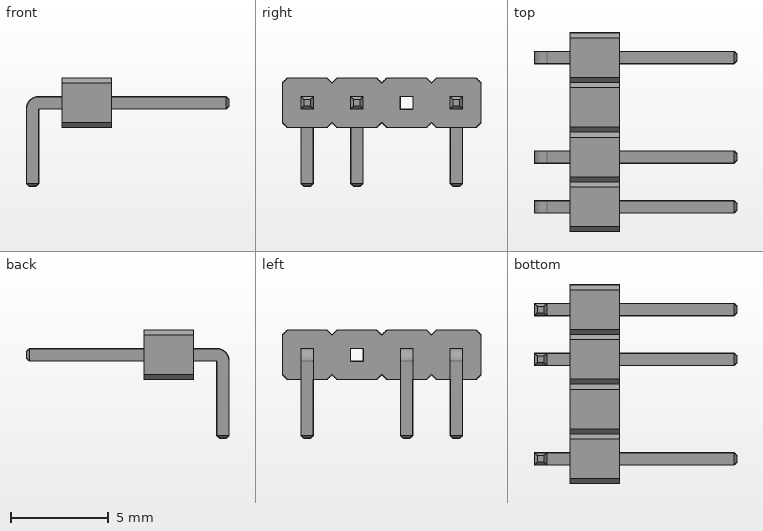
import cadquery as cq

cell_count = 4
empty_cell = 2
overall_length = 10.36
overall_height = 5.54
row_length = 10.16
pitch = row_length / cell_count
housing_depth = pitch
housing_height = pitch
housing_start = 1.81
corner_chamfer = 0.26

pin_width = 0.64
bend_radius = pin_width
tip_length = 0.16
tip_inset = 0.16

housing_centre = housing_start + housing_depth / 2
pin_top = pin_width / 2
pin_bottom = housing_height / 2 - overall_height


def cell_y(index):
    """Y of a cell centre, with the row centred on the origin."""
    return (index + 0.5) * pitch - row_length / 2


def make_housing():
    """Chamfered cells joined in a row, with a square hole in the empty one."""
    housing = cq.Workplane("XY")
    for index in range(cell_count):
        cell = (
            cq.Workplane("XY")
            .box(housing_depth, pitch, housing_height)
            .edges("|X")
            .chamfer(corner_chamfer)
            .translate((housing_centre, cell_y(index), 0))
        )
        housing = housing.union(cell)
    hole = cq.Workplane("XY").box(housing_depth, pin_width, pin_width)
    return housing.cut(hole.translate((housing_centre, cell_y(empty_cell), 0)))


def make_tip(plane, origin):
    """Tapered pin end, narrowing along the plane normal."""
    end_width = pin_width - 2 * tip_inset
    return (
        cq.Workplane(plane, origin=origin)
        .rect(pin_width, pin_width)
        .workplane(offset=tip_length)
        .rect(end_width, end_width)
        .loft(ruled=True)
    )


def make_pin():
    """Right-angle pin centred on Y = 0, with a round outer bend."""
    shaft_end = overall_length - tip_length
    leg_end = pin_bottom + tip_length
    horizontal = (
        cq.Workplane("XY")
        .box(shaft_end, pin_width, pin_width)
        .translate((shaft_end / 2, 0, 0))
    )
    leg_height = pin_top - leg_end
    vertical = (
        cq.Workplane("XY")
        .box(pin_width, pin_width, leg_height)
        .translate((pin_width / 2, 0, leg_end + leg_height / 2))
    )
    bend_corner = cq.Workplane("XY").box(bend_radius, pin_width, bend_radius)
    bend_corner = bend_corner.translate((bend_radius / 2, 0, pin_top - bend_radius / 2))
    bend_round = (
        cq.Workplane("XZ", origin=(bend_radius, pin_width / 2, pin_top - bend_radius))
        .circle(bend_radius)
        .extrude(pin_width)
    )
    pin = horizontal.union(vertical).cut(bend_corner.cut(bend_round))
    pin = pin.union(make_tip("YZ", (shaft_end, 0, 0)))
    return pin.union(make_tip("YX", (pin_width / 2, 0, leg_end)))


result = make_housing()
for cell in range(cell_count):
    if cell != empty_cell:
        result = result.union(make_pin().translate((0, cell_y(cell), 0)))